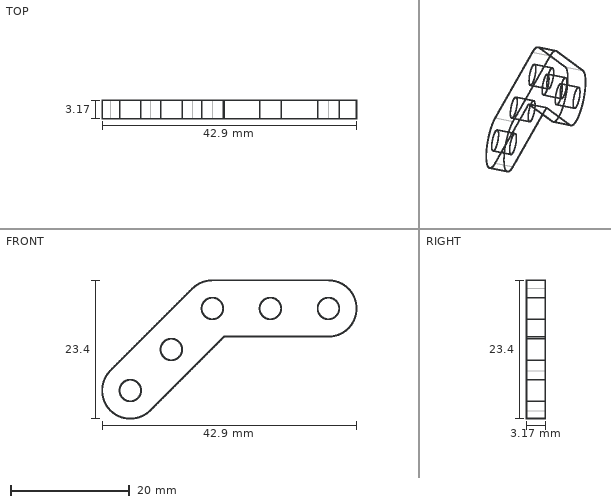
import cadquery as cq
import math

bar_width = 9.525
thickness = 3.175
hole_pitch = 9.779
hole_diameter = 3.6
bend_angle = 45.0
pitches_per_arm = 2

end_radius = bar_width / 2
arm_length = pitches_per_arm * hole_pitch

bend = math.radians(bend_angle)
level_arm_direction = (1.0, 0.0)
sloped_arm_direction = (-math.cos(bend), -math.sin(bend))


def along(direction, distance):
    """Point on an arm's centre line at a distance from the bend hole."""
    return (direction[0] * distance, direction[1] * distance)


def offset(point, angle):
    """Point on the end-radius circle around a point, at an angle from +X."""
    return (
        point[0] + end_radius * math.cos(angle),
        point[1] + end_radius * math.sin(angle),
    )


def make_plate():
    """Bent bar with round ends, a rounded outer bend and a sharp inner bend."""
    level_end = along(level_arm_direction, arm_length)
    sloped_end = along(sloped_arm_direction, arm_length)
    bend_centre = (0.0, 0.0)
    quarter_turn = math.pi / 2
    sloped_normal = quarter_turn + bend
    sloped_outward = sloped_normal + quarter_turn
    sloped_lower_normal = sloped_outward + quarter_turn
    inner_corner = (end_radius * math.tan(bend / 2), -end_radius)

    return (
        cq.Workplane("XZ")
        .moveTo(*inner_corner)
        .lineTo(*offset(level_end, -quarter_turn))
        .threePointArc(offset(level_end, 0.0), offset(level_end, quarter_turn))
        .lineTo(*offset(bend_centre, quarter_turn))
        .threePointArc(offset(bend_centre, quarter_turn + bend / 2), offset(bend_centre, sloped_normal))
        .lineTo(*offset(sloped_end, sloped_normal))
        .threePointArc(offset(sloped_end, sloped_outward), offset(sloped_end, sloped_lower_normal))
        .close()
        .extrude(thickness)
    )


def hole_centres():
    """One hole at the bend and one at every pitch along both arms."""
    centres = [(0.0, 0.0)]
    for direction in (level_arm_direction, sloped_arm_direction):
        for step in range(1, pitches_per_arm + 1):
            centres.append(along(direction, step * hole_pitch))
    return centres


def make_holes():
    """Cylinders that pass through the full plate thickness."""
    return (
        cq.Workplane("XZ")
        .pushPoints(hole_centres())
        .circle(hole_diameter / 2)
        .extrude(thickness)
    )


result = make_plate().cut(make_holes())